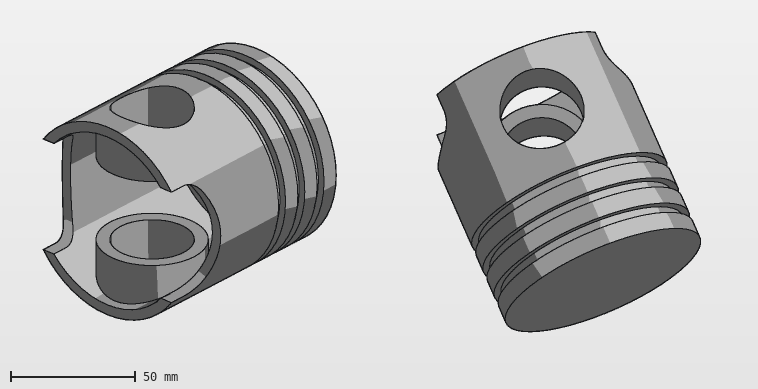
import cadquery as cq
import math


piston_diameter = 85.0
piston_radius = piston_diameter / 2
overall_length = 94.8
crown_dome_radius = 200.0
crown_dome_height = crown_dome_radius - math.sqrt(crown_dome_radius**2 - piston_radius**2)
crown_edge_y = overall_length - crown_dome_height

groove_count = 3
groove_width = 4.2
land_width = 7.4
groove_diameter = 79.0

bore_diameter = 76.0
crown_thickness = 10.0
bore_depth = crown_edge_y - crown_thickness

pin_hole_diameter = 33.8
boss_diameter = 45.0
boss_gap = 38.0
pin_axis_y = 27.0

cutout_width = 50.0
cutout_arc_radius = piston_radius
cutout_depth = 20.6
cutout_blend_radius = 9.5

cutter_clearance = 1.0


def along_piston(radius, start_y, length):
    """Solid cylinder about the piston axis."""
    base_point = cq.Vector(0, start_y, 0)
    piston_axis = cq.Vector(0, 1, 0)
    return cq.Workplane(cq.Solid.makeCylinder(radius, length, base_point, piston_axis))


def along_pin(diameter):
    """Solid cylinder about the wrist pin axis, spanning the whole piston."""
    return (
        cq.Workplane("XY")
        .center(0, pin_axis_y)
        .circle(diameter / 2)
        .extrude(piston_radius, both=True)
    )


def make_blank():
    """Solid piston with a domed crown, revolved about the Y axis."""
    mid_radius = piston_radius / 2
    dome_center_y = overall_length - crown_dome_radius
    dome_mid_y = dome_center_y + math.sqrt(crown_dome_radius**2 - mid_radius**2)
    return (
        cq.Workplane("XY")
        .lineTo(piston_radius, 0)
        .lineTo(piston_radius, crown_edge_y)
        .threePointArc((mid_radius, dome_mid_y), (0, overall_length))
        .close()
        .revolve(360, (0, 0, 0), (0, 1, 0))
    )


def make_groove(index):
    """Annular cutter for one piston ring groove; index 0 is nearest the crown."""
    start_y = crown_edge_y - (index + 1) * (land_width + groove_width)
    outer = along_piston(piston_radius + cutter_clearance, start_y, groove_width)
    core = along_piston(groove_diameter / 2, start_y, groove_width)
    return outer.cut(core)


def make_cavity():
    """Bore open at the skirt rim, less the two wrist pin bosses."""
    bore = along_piston(bore_diameter / 2, 0, bore_depth)
    gap_between_bosses = cq.Workplane("XY").box(piston_diameter, 2 * overall_length, boss_gap)
    bosses = along_pin(boss_diameter).cut(gap_between_bosses)
    return bore.cut(bosses)


def make_skirt_cutout():
    """Profile in the YZ plane, cut through both sides of the skirt along X."""
    half_width = cutout_width / 2
    arc_center_y = cutout_depth - cutout_arc_radius

    blend_center_z = half_width - cutout_blend_radius
    center_distance = cutout_arc_radius - cutout_blend_radius
    blend_center_y = arc_center_y + math.sqrt(center_distance**2 - blend_center_z**2)
    tangent_angle = math.atan2(blend_center_z, blend_center_y - arc_center_y)
    tangent_y = arc_center_y + cutout_arc_radius * math.cos(tangent_angle)
    tangent_z = cutout_arc_radius * math.sin(tangent_angle)
    blend_mid_angle = (tangent_angle + math.pi / 2) / 2
    blend_mid_y = blend_center_y + cutout_blend_radius * math.cos(blend_mid_angle)
    blend_mid_z = blend_center_z + cutout_blend_radius * math.sin(blend_mid_angle)

    return (
        cq.Workplane("YZ")
        .moveTo(0, -half_width)
        .lineTo(blend_center_y, -half_width)
        .threePointArc((blend_mid_y, -blend_mid_z), (tangent_y, -tangent_z))
        .threePointArc((cutout_depth, 0), (tangent_y, tangent_z))
        .threePointArc((blend_mid_y, blend_mid_z), (blend_center_y, half_width))
        .lineTo(0, half_width)
        .close()
        .extrude(piston_diameter, both=True)
    )


def cut_skirt_sides(body):
    """Open the skirt wall on the -X and +X sides, leaving the bosses whole."""
    wall = along_piston(piston_radius + cutter_clearance, 0, cutout_depth)
    wall = wall.cut(along_piston(bore_diameter / 2, 0, cutout_depth))
    return body.cut(make_skirt_cutout().intersect(wall))


result = make_blank()
for groove_index in range(groove_count):
    result = result.cut(make_groove(groove_index))
result = result.cut(make_cavity())
result = cut_skirt_sides(result)
result = result.cut(along_pin(pin_hole_diameter))